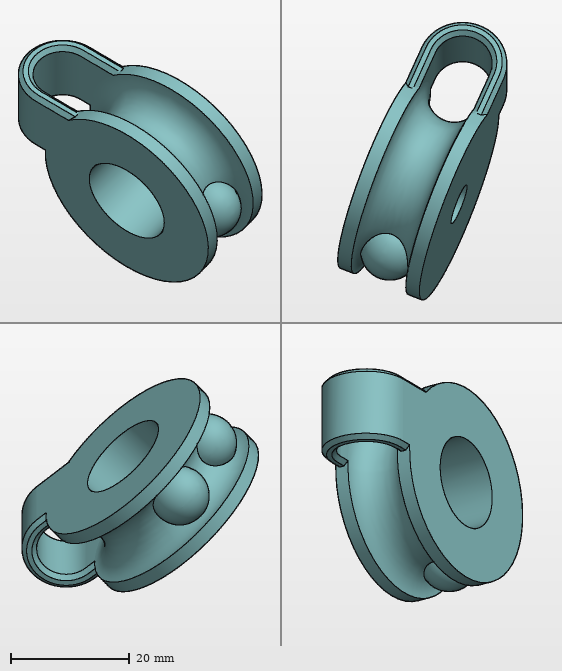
import cadquery as cq
import math

total_length = 44.3
width = 15.0
wheel_diameter = 34.78
wheel_radius = wheel_diameter / 2
groove_width = 10.0
groove_radius = groove_width / 2
groove_floor_radius = wheel_radius - groove_radius

bore_diameter = 7.0
counterbore_diameter = 16.0
counterbore_depth = 10.0

ball_radius = groove_radius
ball_angles = (0, -60)

loop_height = 13.0
loop_chamfer = 0.8
loop_outer_radius = width / 2
loop_bend_x = wheel_radius - total_length + loop_outer_radius


def y_cylinder(diameter, start_y, length):
    """Cylinder about the Y axis, running from start_y toward +Y."""
    base = cq.Plane(origin=(0, start_y, 0), xDir=(1, 0, 0), normal=(0, 1, 0))
    return cq.Workplane(base).circle(diameter / 2).extrude(length)


def u_outline(bend_radius):
    """Prism with a round -X end, reaching +X as far as the wheel axis."""
    return (
        cq.Workplane("XY")
        .moveTo(0, -bend_radius)
        .lineTo(loop_bend_x, -bend_radius)
        .threePointArc((loop_bend_x - bend_radius, 0), (loop_bend_x, bend_radius))
        .lineTo(0, bend_radius)
        .close()
        .extrude(loop_height)
    )


def guide_loop():
    """Two legs joined by a half-round bend, overlapping the wheel flanges."""
    return u_outline(loop_outer_radius).cut(u_outline(groove_radius))


def chamfer_loop_rim(body, rim_z):
    """Chamfer the loop's long inner and outer edges at one height, up to the flanges."""
    margin = 0.05
    near_corner = (-total_length, -width, rim_z - margin)
    far_corner = (0, width, rim_z + margin)
    rim_edges = body.edges(cq.selectors.BoxSelector(near_corner, far_corner))
    long_edges = rim_edges.filter(lambda edge: edge.BoundingBox().xlen > margin)
    return long_edges.chamfer(loop_chamfer)


def groove():
    """Ring of round section, centred on the wheel rim."""
    return cq.Workplane(cq.Solid.makeTorus(wheel_radius, groove_radius, dir=cq.Vector(0, 1, 0)))


def grip_ball(angle):
    """Ball on the groove floor, at an angle from +X toward +Z."""
    x = groove_floor_radius * math.cos(math.radians(angle))
    z = groove_floor_radius * math.sin(math.radians(angle))
    return cq.Workplane("XY").sphere(ball_radius).translate((x, 0, z))


result = y_cylinder(wheel_diameter, -width / 2, width).cut(groove())
result = result.union(guide_loop())
for rim_height in (0, loop_height):
    result = chamfer_loop_rim(result, rim_height)

for ball_angle in ball_angles:
    result = result.union(grip_ball(ball_angle))

result = result.cut(y_cylinder(bore_diameter, -width / 2, width))
result = result.cut(y_cylinder(counterbore_diameter, -width / 2, counterbore_depth))